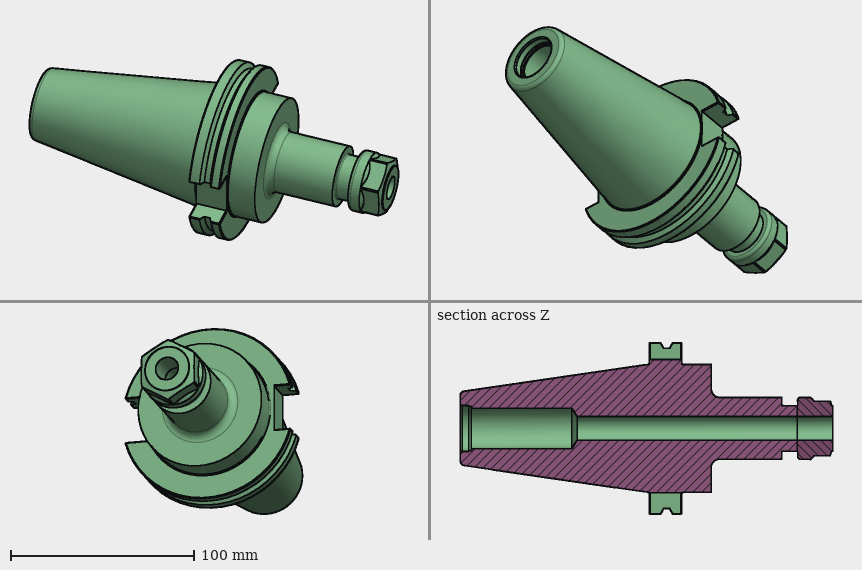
import cadquery as cq
import math


taper_length = 101.7
taper_large_diameter = 69.8
taper_rate = 7 / 24
taper_small_diameter = taper_large_diameter - taper_rate * taper_length
small_end_fillet = 2.5

flange_diameter = 97.2
flange_start = 103.1
flange_end = 121.0
flange_chamfer = 0.5
root_fillet = 0.6

groove_center = 112.7
groove_floor_width = 3.3
groove_depth = 3.0
groove_wall_angle = 30
groove_top_width = groove_floor_width + 2 * groove_depth * math.tan(math.radians(groove_wall_angle))

slot_width = 25.0
front_slot_floor = 35.2
rear_slot_floor = 37.6

collar_diameter = 70.0
collar_end = 137.0
neck_diameter = 34.0
neck_end = 175.5
neck_fillet = 4.5
spigot_diameter = 25.0
spigot_root_fillet = 0.6

mouth_diameter = 26.0
mouth_chamfer_length = 1.0
pilot_diameter = 25.0
pilot_depth = 4.7
relief_diameter = 24.2
relief_depth = 6.0
drawbar_diameter = 22.0
drawbar_depth = 61.0
drill_point_angle = 118
through_diameter = 12.8

nut_start = 184.0
nut_end = 203.4
nut_diameter = 34.0
nut_back_fillet = 1.8
nut_hex_start = 191.2
nut_across_flats = 29.9
nut_chamfer_start = 201.3
nut_rim_start = 202.8
nut_rim_diameter = 25.0


def cylinder(start, end, diameter):
    return cq.Workplane("YZ", origin=(start, 0, 0)).circle(diameter / 2).extrude(end - start)


def revolve_about_x(profile):
    return profile.close().revolve(360, (0, 0, 0), (1, 0, 0))


def make_taper():
    taper = revolve_about_x(
        cq.Workplane("XY")
        .lineTo(0, taper_small_diameter / 2)
        .lineTo(taper_length, taper_large_diameter / 2)
        .lineTo(flange_start, taper_large_diameter / 2)
        .lineTo(flange_start, 0)
    )
    return taper.faces("<X").edges().fillet(small_end_fillet)


def make_flange():
    """Disc with two drive slots, chamfered rim and slot walls, and a V groove around it."""
    flange = cylinder(flange_start, flange_end, flange_diameter)
    flange = flange.cut(make_drive_slot(front_slot_floor, -1))
    flange = flange.cut(make_drive_slot(rear_slot_floor, 1))
    rim_edges = flange.edges("%CIRCLE")
    wall_edges = flange.faces("|Z").edges("|Y or >Y or <Y")
    flange = rim_edges.add(wall_edges).chamfer(flange_chamfer)
    return flange.cut(make_groove_ring())


def make_groove_ring():
    rim_radius = flange_diameter / 2
    floor_radius = rim_radius - groove_depth
    return revolve_about_x(
        cq.Workplane("XY")
        .moveTo(groove_center - groove_top_width / 2, rim_radius)
        .lineTo(groove_center - groove_floor_width / 2, floor_radius)
        .lineTo(groove_center + groove_floor_width / 2, floor_radius)
        .lineTo(groove_center + groove_top_width / 2, rim_radius)
    )


def make_root_fillet(corner_x, shaft_diameter, direction):
    """Solid of revolution with a concave quarter-round between the flange face and a shaft."""
    radius = shaft_diameter / 2
    far_x = corner_x + direction * root_fillet
    return revolve_about_x(
        cq.Workplane("XY")
        .moveTo(corner_x, 0)
        .lineTo(corner_x, radius + root_fillet)
        .radiusArc((far_x, radius), -direction * root_fillet)
        .lineTo(far_x, 0)
    )


def make_drive_slot(floor, side):
    depth = flange_diameter / 2 - floor
    flange_middle = (flange_start + flange_end) / 2
    slot = cq.Workplane("XY").box(flange_end - flange_start, depth, slot_width)
    return slot.translate((flange_middle, side * (floor + depth / 2), 0))


def make_nose():
    """Collar, filleted neck and the spigot that carries the nut."""
    neck_radius = neck_diameter / 2
    spigot_radius = spigot_diameter / 2
    return revolve_about_x(
        cq.Workplane("XY")
        .moveTo(flange_end, 0)
        .lineTo(flange_end, collar_diameter / 2)
        .lineTo(collar_end, collar_diameter / 2)
        .lineTo(collar_end, neck_radius + neck_fillet)
        .radiusArc((collar_end + neck_fillet, neck_radius), -neck_fillet)
        .lineTo(neck_end, neck_radius)
        .lineTo(neck_end, spigot_radius + spigot_root_fillet)
        .radiusArc((neck_end + spigot_root_fillet, spigot_radius), -spigot_root_fillet)
        .lineTo(nut_start, spigot_radius)
        .lineTo(nut_start, 0)
    )


def make_holder_bore():
    drill_point_length = (
        (drawbar_diameter - through_diameter) / 2 / math.tan(math.radians(drill_point_angle / 2))
    )
    return revolve_about_x(
        cq.Workplane("XY")
        .lineTo(0, mouth_diameter / 2)
        .lineTo(mouth_chamfer_length, pilot_diameter / 2)
        .lineTo(pilot_depth, pilot_diameter / 2)
        .lineTo(pilot_depth, relief_diameter / 2)
        .lineTo(relief_depth, relief_diameter / 2)
        .lineTo(relief_depth, drawbar_diameter / 2)
        .lineTo(drawbar_depth, drawbar_diameter / 2)
        .lineTo(drawbar_depth + drill_point_length, through_diameter / 2)
        .lineTo(nut_start, through_diameter / 2)
        .lineTo(nut_start, 0)
    )


def make_holder():
    holder = make_taper().union(make_flange()).union(make_nose())
    holder = holder.union(make_root_fillet(flange_start, taper_large_diameter, -1))
    holder = holder.union(make_root_fillet(flange_end, collar_diameter, 1))
    return holder.cut(make_holder_bore())


def make_nut():
    """Round nut with a hexagon whose corners are trimmed to the nut diameter."""
    back = cylinder(nut_start, nut_hex_start, nut_diameter).faces("<X").edges().fillet(nut_back_fillet)

    across_corners = nut_across_flats / math.cos(math.pi / 6)
    hexagon = (
        cq.Workplane("YZ", origin=(nut_hex_start, 0, 0))
        .transformed(rotate=(0, 0, 90))
        .polygon(6, across_corners)
        .extrude(nut_rim_start - nut_hex_start)
    )
    front_envelope = revolve_about_x(
        cq.Workplane("XY")
        .moveTo(nut_hex_start, 0)
        .lineTo(nut_hex_start, nut_diameter / 2)
        .lineTo(nut_chamfer_start, nut_diameter / 2)
        .lineTo(nut_rim_start, nut_rim_diameter / 2)
        .lineTo(nut_rim_start, 0)
    )

    shoulder_height = (nut_diameter - nut_across_flats) / 2
    shoulder = revolve_about_x(
        cq.Workplane("XY")
        .moveTo(nut_hex_start, 0)
        .lineTo(nut_hex_start, nut_diameter / 2)
        .lineTo(nut_hex_start + shoulder_height, nut_across_flats / 2)
        .lineTo(nut_hex_start + shoulder_height, 0)
    )
    rim = cylinder(nut_rim_start, nut_end, nut_rim_diameter)
    nut = back.union(hexagon.intersect(front_envelope)).union(shoulder).union(rim)
    return nut.cut(cylinder(nut_start, nut_end, through_diameter))


holder = make_holder()
nut = make_nut()

result = cq.Compound.makeCompound([holder.solids().val(), nut.solids().val()])